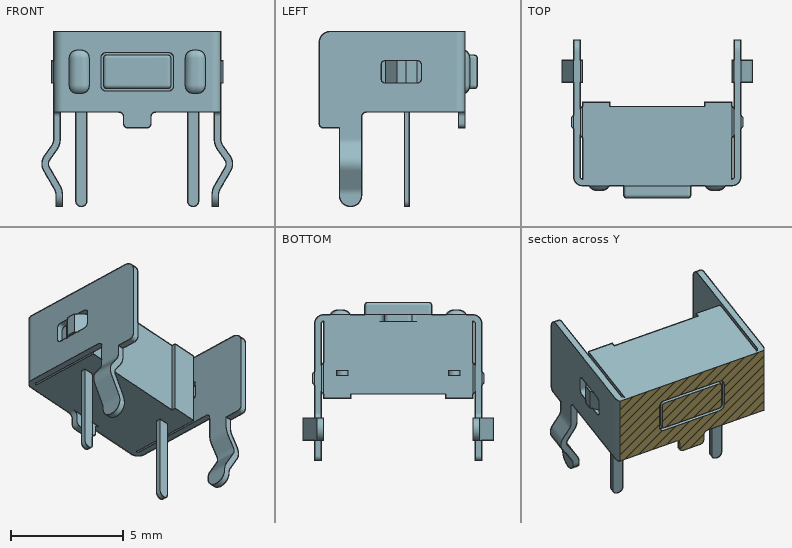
import cadquery as cq
import math


sheet = 0.3
bracket_width = 7.45
bracket_depth = 6.5
body_height = 3.6
gap = 0.1
bend_radius = gap + sheet
wall_top_radius = 0.5
corner_radius = 0.2
standoff_drop = 0.7
tab_width = 1.23

leg_width = 1.0
leg_front_y = 4.6
leg_bottom_z = -4.2
leg_straight_z = -1.2
leg_span = 8.5
foot_inset = 0.1
upper_bend_angle = 35
lower_bend_angle = 30
upper_bend_radius = 0.65
apex_bend_radius = 0.45
foot_bend_radius = 0.65

housing_width = bracket_width - 2 * (sheet + gap)
housing_back_y = 3.73
recess_width = 4.22
recess_depth = 0.19
mid_z = body_height / 2

lug_y = 2.84
lug_height = 1.0
lug_base_length = 1.42
lug_tip_length = 0.4
lug_reach = 0.095
hole_length = 1.8

button_width = 3.0
button_height = 1.5
button_reach = 0.55
button_radius = 0.15
opening_width = 3.24
opening_height = 1.73
opening_radius = 0.25

bead_x = 2.583
bead_reach = 0.21
bead_radius = 0.4
bead_flat_width = 0.19
bead_flat_height = 1.22

pin_x = 2.49
pin_width = 0.5
pin_thickness = 0.22
pin_y = 2.59
pin_bottom_z = -4.2


def block(x_size, y_min, y_max, z_min, z_max):
    """Box centred on X = 0."""
    return (cq.Workplane("XY")
            .box(x_size, y_max - y_min, z_max - z_min, centered=(True, False, False))
            .translate((0, y_min, z_min)))


def both_sides(left):
    """A left-hand feature together with its mirror image."""
    return left.union(left.mirror("YZ"))


def make_front_panel():
    """Front panel with rounded bends at both ends and a tab below it."""
    outer_x = bracket_width / 2
    inner_x = outer_x - sheet
    flat_x = outer_x - bend_radius
    panel = (cq.Workplane("XY")
             .moveTo(-outer_x, bend_radius)
             .radiusArc((-flat_x, 0), -bend_radius)
             .lineTo(flat_x, 0)
             .radiusArc((outer_x, bend_radius), -bend_radius)
             .lineTo(inner_x, bend_radius)
             .radiusArc((flat_x, sheet), gap)
             .lineTo(-flat_x, sheet)
             .radiusArc((-inner_x, bend_radius), gap)
             .close()
             .extrude(body_height))

    half = tab_width / 2
    flare = half + corner_radius
    tab = (cq.Workplane("XZ")
           .moveTo(-flare, 0)
           .radiusArc((-half, -corner_radius), corner_radius)
           .lineTo(-half, corner_radius - standoff_drop)
           .radiusArc((corner_radius - half, -standoff_drop), -corner_radius)
           .lineTo(half - corner_radius, -standoff_drop)
           .radiusArc((half, corner_radius - standoff_drop), -corner_radius)
           .lineTo(half, -corner_radius)
           .radiusArc((flare, 0), corner_radius)
           .close()
           .extrude(-sheet))
    return panel.union(tab)


def make_side_wall():
    """Left side wall, with the straight top of its leg and the lug hole."""
    leg_back_y = leg_front_y + leg_width
    outline = (cq.Workplane("YZ")
               .moveTo(bend_radius, 0)
               .lineTo(leg_front_y - corner_radius, 0)
               .radiusArc((leg_front_y, -corner_radius), corner_radius)
               .lineTo(leg_front_y, leg_straight_z)
               .lineTo(leg_back_y, leg_straight_z)
               .lineTo(leg_back_y, -standoff_drop)
               .lineTo(bracket_depth - corner_radius, -standoff_drop)
               .radiusArc((bracket_depth, corner_radius - standoff_drop), -corner_radius)
               .lineTo(bracket_depth, body_height - wall_top_radius)
               .radiusArc((bracket_depth - wall_top_radius, body_height), -wall_top_radius)
               .lineTo(bend_radius, body_height)
               .close())
    wall = outline.extrude(sheet)
    hole = (cq.Workplane("YZ", origin=(0, lug_y, mid_z))
            .rect(hole_length, lug_height)
            .extrude(sheet)
            .edges("|X").fillet(corner_radius))
    return wall.cut(hole).translate((-bracket_width / 2, 0, 0))


def add_bend(path, start, radius, heading, new_heading):
    """Append an arc to a downward path in XZ; headings are degrees from -Z toward -X."""
    turn = 1 if new_heading > heading else -1

    def arc_point(angle):
        a = math.radians(angle)
        a0 = math.radians(heading)
        return (start[0] - turn * radius * (math.cos(a0) - math.cos(a)),
                start[1] - turn * radius * (math.sin(a) - math.sin(a0)))

    end = arc_point(new_heading)
    return path.threePointArc(arc_point((heading + new_heading) / 2), end), end


def add_straight(path, start, length, heading):
    """Append a straight stretch to a downward path in XZ."""
    a = math.radians(heading)
    end = (start[0] - length * math.sin(a), start[1] - length * math.cos(a))
    return path.lineTo(*end), end


def straight_length(x_shift, radius_sum, angle):
    """Length of the slanted stretch between two opposite bends that shift the sheet in X."""
    a = math.radians(angle)
    return (x_shift - radius_sum * (1 - math.cos(a))) / math.sin(a)


def make_leg():
    """Left spring leg: a strip bent outward and back in, with a round foot."""
    top_x = (sheet - bracket_width) / 2
    apex_x = (sheet - leg_span) / 2
    foot_x = top_x + foot_inset
    upper_length = straight_length(top_x - apex_x, upper_bend_radius + apex_bend_radius, upper_bend_angle)
    lower_length = straight_length(foot_x - apex_x, apex_bend_radius + foot_bend_radius, lower_bend_angle)
    leg_mid_y = leg_front_y + leg_width / 2

    point = (top_x, leg_straight_z)
    path = cq.Workplane("XZ", origin=(0, leg_mid_y, 0)).moveTo(*point)
    path, point = add_bend(path, point, upper_bend_radius, 0, upper_bend_angle)
    path, point = add_straight(path, point, upper_length, upper_bend_angle)
    path, point = add_bend(path, point, apex_bend_radius, upper_bend_angle, -lower_bend_angle)
    path, point = add_straight(path, point, lower_length, -lower_bend_angle)
    path, point = add_bend(path, point, foot_bend_radius, -lower_bend_angle, 0)
    path = path.lineTo(point[0], leg_bottom_z)

    strip = (cq.Workplane("XY", origin=(top_x, leg_mid_y, leg_straight_z))
             .rect(sheet, leg_width)
             .sweep(path))
    foot_radius = leg_width / 2
    rounded_outline = (cq.Workplane("YZ", origin=(-leg_span, leg_mid_y, 0))
                       .moveTo(-foot_radius, leg_straight_z)
                       .lineTo(-foot_radius, leg_bottom_z + foot_radius)
                       .threePointArc((0, leg_bottom_z), (foot_radius, leg_bottom_z + foot_radius))
                       .lineTo(foot_radius, leg_straight_z)
                       .close()
                       .extrude(leg_span))
    return strip.intersect(rounded_outline)


def make_housing():
    """Housing block with a shallow recess along its back."""
    housing = block(housing_width, sheet, housing_back_y, 0, body_height)
    return housing.cut(block(recess_width, housing_back_y - recess_depth, housing_back_y, 0, body_height))


def make_lug():
    """Left snap lug, tapering outward."""
    base_x = -housing_width / 2
    tip_x = -bracket_width / 2 - lug_reach
    outline = [
        (base_x, lug_y - lug_base_length / 2),
        (base_x, lug_y + lug_base_length / 2),
        (tip_x, lug_y + lug_tip_length / 2),
        (tip_x, lug_y - lug_tip_length / 2),
    ]
    return (cq.Workplane("XY", origin=(0, 0, mid_z - lug_height / 2))
            .polyline(outline)
            .close()
            .extrude(lug_height))


def make_opening():
    """Rounded opening in the front panel around the button."""
    opening = block(opening_width, 0, sheet, mid_z - opening_height / 2, mid_z + opening_height / 2)
    return opening.edges("|Y").fillet(opening_radius)


def make_button():
    """Push button with rounded sides and front edges, seated on the housing."""
    button = block(button_width, -button_reach, sheet, mid_z - button_height / 2, mid_z + button_height / 2)
    return button.edges("|Y or <Y").fillet(button_radius)


def make_bead():
    """Left embossed bead, the rounded front of a block set into the front panel."""
    width = bead_flat_width + 2 * bead_radius
    height = bead_flat_height + 2 * bead_radius
    bead = block(width, -bead_reach, sheet, mid_z - height / 2, mid_z + height / 2)
    return bead.edges("|Y or <Y").fillet(bead_radius).translate((-bead_x, 0, 0))


def make_pin():
    """Left solder pin with a round tip."""
    half = pin_width / 2
    return (cq.Workplane("XZ", origin=(-pin_x, pin_y - pin_thickness / 2, 0))
            .moveTo(-half, 0)
            .lineTo(-half, pin_bottom_z + half)
            .threePointArc((0, pin_bottom_z), (half, pin_bottom_z + half))
            .lineTo(half, 0)
            .close()
            .extrude(-pin_thickness))


bracket = (make_front_panel()
           .union(both_sides(make_bead()))
           .cut(make_opening())
           .union(both_sides(make_side_wall().union(make_leg()))))
switch = make_housing().union(both_sides(make_lug().union(make_pin()))).union(make_button())
result = bracket.union(switch)